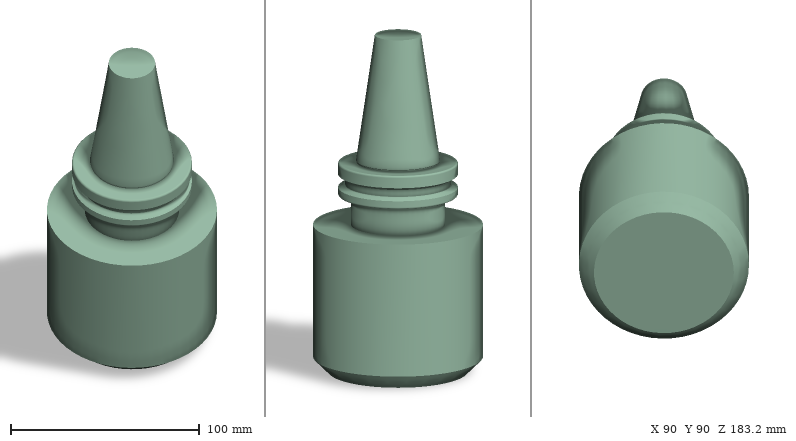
import cadquery as cq
import math


taper_length = 68.25
gauge_diameter = 44.45
taper_ratio = 7 / 24
tip_diameter = gauge_diameter - taper_length * taper_ratio

relief_diameter = 43.85
relief_lead_height = (gauge_diameter - relief_diameter) / 2
flange_top = -1.0

flange_diameter = 63.5
flange_bottom = -19.05
flange_edge_radius = 1.0
groove_diameter = 56.0
groove_center = -11.1
groove_floor_width = 3.8
groove_rim_width = 7.1
groove_flank_angle = 30.0

neck_diameter = 50.0
neck_fillet_radius = 0.5
body_diameter = 90.0
body_top = -35.0
body_bottom = -115.0
body_chamfer = 8.0


def cylinder(diameter, bottom, top):
    """Solid cylinder on the Z axis between two heights."""
    return cq.Workplane("XY").workplane(offset=bottom).circle(diameter / 2).extrude(top - bottom)


def taper_shank():
    """Cone up to the flat tip, with a short reverse cone down to the relief diameter."""
    profile = [
        (0, -relief_lead_height),
        (relief_diameter / 2, -relief_lead_height),
        (gauge_diameter / 2, 0),
        (tip_diameter / 2, taper_length),
        (0, taper_length),
    ]
    return cq.Workplane("XZ").polyline(profile).close().revolve(360, (0, 0), (0, 1))


def groove_cutter():
    """Ring with a narrow straight slot at the floor and sloping flanks out to the rim."""
    floor_radius = groove_diameter / 2
    rim_radius = flange_diameter / 2
    floor_half = groove_floor_width / 2
    rim_half = groove_rim_width / 2
    flank_depth = (rim_half - floor_half) / math.tan(math.radians(groove_flank_angle))
    flank_foot_radius = rim_radius - flank_depth
    profile = [
        (floor_radius, groove_center - floor_half),
        (flank_foot_radius, groove_center - floor_half),
        (rim_radius, groove_center - rim_half),
        (rim_radius, groove_center + rim_half),
        (flank_foot_radius, groove_center + floor_half),
        (floor_radius, groove_center + floor_half),
    ]
    return cq.Workplane("XZ").polyline(profile).close().revolve(360, (0, 0), (0, 1))


def flange():
    """Disc with rounded outer edges and the gripper groove."""
    disc = cylinder(flange_diameter, flange_bottom, flange_top)
    return disc.edges("%CIRCLE").fillet(flange_edge_radius).cut(groove_cutter())


def body():
    """Cylinder with a chamfered lower edge."""
    return cylinder(body_diameter, body_bottom, body_top).faces("<Z").edges().chamfer(body_chamfer)


def flange_with_neck():
    """Flange and neck joined, with a small fillet in the corner between them."""
    neck = cylinder(neck_diameter, body_top, flange_bottom)
    joined = flange().union(neck)
    underside = joined.faces(cq.selectors.NearestToPointSelector((0, 0, flange_bottom)))
    corner = underside.edges("%CIRCLE").edges(cq.selectors.RadiusNthSelector(0))
    return corner.fillet(neck_fillet_radius)


relief = cylinder(relief_diameter, flange_top, -relief_lead_height)

result = taper_shank().union(relief).union(flange_with_neck()).union(body())